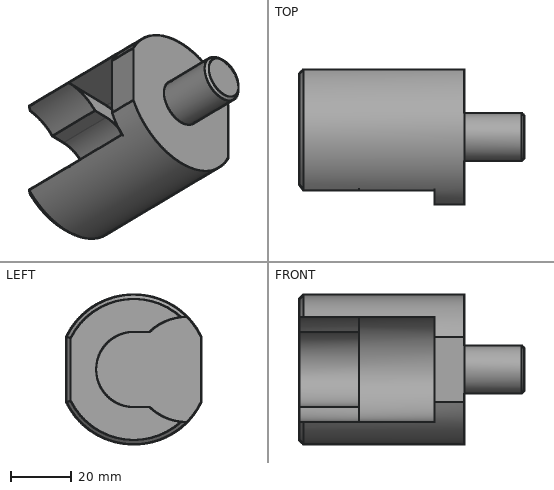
import cadquery as cq

total_length = 75.0
shank_length = 20.0
body_length = total_length - shank_length
body_radius = 25.0
flat_to_flat = 45.0
body_chamfer = 1.5

shank_radius = 8.0
shank_chamfer = 1.0

mouth_depth = 20.0
end_wall = 10.0
chamber_radius = 17.5
mouth_radius = 12.5
flare_radius = chamber_radius

cavity_depth = body_length - end_wall
clearance = 0.75
open_y = -(body_radius + clearance)
flare_center_y = -flare_radius


def make_body():
    bar = cq.Workplane("YZ").circle(body_radius).extrude(body_length)
    flats = cq.Workplane("YZ").rect(flat_to_flat, 2 * (body_radius + clearance)).extrude(body_length)
    return bar.intersect(flats).faces("<X").chamfer(body_chamfer)


def make_shank():
    shank = cq.Workplane("YZ", origin=(body_length, 0, 0)).circle(shank_radius).extrude(shank_length)
    return shank.faces(">X").chamfer(shank_chamfer)


def u_channel(radius, start_x, end_x):
    """Round-bottomed channel centred on the X axis, with straight walls running out to -Y."""
    return (
        cq.Workplane("YZ", origin=(start_x, 0, 0))
        .moveTo(open_y, -radius)
        .lineTo(0, -radius)
        .threePointArc((radius, 0), (0, radius))
        .lineTo(open_y, radius)
        .close()
        .extrude(end_x - start_x)
    )


def make_flare():
    """Rounded widening of the mouth towards the open side."""
    return (
        cq.Workplane("YZ")
        .moveTo(open_y, -flare_radius)
        .lineTo(flare_center_y, -flare_radius)
        .threePointArc((flare_center_y + flare_radius, 0), (flare_center_y, flare_radius))
        .lineTo(open_y, flare_radius)
        .close()
        .extrude(mouth_depth)
    )


mouth = u_channel(mouth_radius, 0, mouth_depth)
chamber = u_channel(chamber_radius, mouth_depth, cavity_depth)

result = make_body().cut(mouth).cut(make_flare()).cut(chamber).union(make_shank())